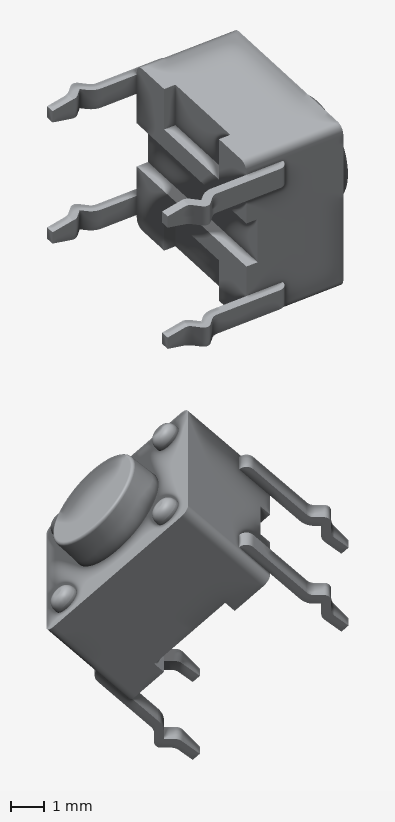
import cadquery as cq
import math


body_side = 6.0
body_height = 3.45
corner_radius = 0.3
recess_depth = 0.4
groove_width = 1.6
pocket_width = 3.0
pocket_length = 1.5

button_top = 4.5
button_base_radius = 1.75
button_top_radius = 1.71
button_edge_radius = 0.1

rivet_radius = 0.45
rivet_height = 0.4
rivet_edge_radius = 0.3
rivet_offset = 2.15

lead_thickness = 0.3
lead_width = 0.71
lead_offset = 2.25
lead_top = 1.3
lead_tip = -3.0
tip_width = 0.42
kink_level = -1.82
kink_inner_offset = 0.325
kink_outer_radius = 0.2
bend_radius = 0.3

half_side = body_side / 2
kink_angle = math.radians(45)


def housing_top():
    """Sketch plane on the top face of the housing, facing +Y."""
    return cq.Workplane("XZ", origin=(0, body_height, 0))


def make_housing():
    """Rounded square block with a groove and two edge pockets in its base."""
    housing = (
        cq.Workplane("XZ")
        .rect(body_side, body_side)
        .extrude(-body_height)
        .edges("|Y")
        .fillet(corner_radius)
    )
    groove = cq.Workplane("XZ").rect(body_side, groove_width).extrude(-recess_depth)
    pocket_center = half_side - pocket_length / 2
    pockets = (
        cq.Workplane("XZ")
        .pushPoints([(0, pocket_center), (0, -pocket_center)])
        .rect(pocket_width, pocket_length)
        .extrude(-recess_depth)
    )
    return housing.cut(groove).cut(pockets)


def make_button():
    """Slightly tapered round button with a rounded top edge."""
    button_height = button_top - body_height
    taper = math.degrees(math.atan((button_base_radius - button_top_radius) / button_height))
    return (
        housing_top()
        .circle(button_base_radius)
        .extrude(-button_height, taper=taper)
        .faces(">Y")
        .edges()
        .fillet(button_edge_radius)
    )


def make_rivet(x_side, z_side):
    """Domed rivet head near one corner of the top face."""
    return (
        housing_top()
        .center(x_side * rivet_offset, z_side * rivet_offset)
        .circle(rivet_radius)
        .extrude(-rivet_height)
        .faces(">Y")
        .edges()
        .fillet(rivet_edge_radius)
    )


def tangent_length(radius):
    """Distance from a 45 degree corner to where its rounding begins."""
    return radius * math.tan(kink_angle / 2)


def round_edge(lead, x, y, radius):
    """Round the lead edge along Z that passes through (x, y)."""
    picker = cq.selectors.NearestToPointSelector((x, y, 0))
    return lead.edges("|Z").edges(picker).fillet(radius)


def make_right_lead():
    """Lead on the +X side, centred on Z = 0, with an outward kink and a tapered tip."""
    inner_x = half_side
    outer_x = inner_x + lead_thickness
    inner_kink_x = inner_x + kink_inner_offset
    outer_kink_x = inner_kink_x + lead_thickness / math.sin(kink_angle)

    inner_rise = inner_kink_x - inner_x
    outer_rise = outer_kink_x - outer_x
    lead = (
        cq.Workplane("XY")
        .moveTo(inner_x, lead_top)
        .radiusArc((outer_x, lead_top - lead_thickness), lead_thickness)
        .polyline([
            (outer_x, kink_level + outer_rise),
            (outer_kink_x, kink_level),
            (outer_x, kink_level - outer_rise),
            (outer_x, lead_tip),
            (inner_x, lead_tip),
            (inner_x, kink_level - inner_rise),
            (inner_kink_x, kink_level),
            (inner_x, kink_level + inner_rise),
        ], includeCurrent=True)
        .close()
        .extrude(lead_width / 2, both=True)
    )
    lead = round_edge(lead, outer_x, kink_level + outer_rise, bend_radius)
    lead = round_edge(lead, outer_kink_x, kink_level, kink_outer_radius)
    lead = round_edge(lead, outer_x, kink_level - outer_rise, bend_radius)
    lead = round_edge(lead, inner_x, kink_level - inner_rise, bend_radius)
    lead = round_edge(lead, inner_x, kink_level + inner_rise, bend_radius + lead_thickness)

    taper_start = kink_level - inner_rise - tangent_length(bend_radius)
    for side in (1, -1):
        wedge = (
            cq.Workplane("YZ")
            .polyline([
                (taper_start, side * lead_width / 2),
                (lead_tip, side * lead_width / 2),
                (lead_tip, side * tip_width / 2),
            ])
            .close()
            .extrude(outer_kink_x)
        )
        lead = lead.cut(wedge)
    return lead


result = make_housing().union(make_button())
right_lead = make_right_lead()
left_lead = right_lead.mirror("YZ")
for z_side in (1, -1):
    for x_side, lead in ((1, right_lead), (-1, left_lead)):
        result = result.union(make_rivet(x_side, z_side))
        result = result.union(lead.translate((0, 0, z_side * lead_offset)))